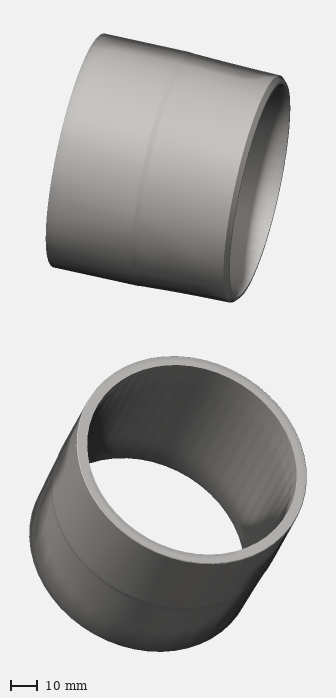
import cadquery as cq

length = 70.0
outer_diameter = 88.9
wall = 4.0

plain_end_chamfer = 0.3

taper_start = 35.0
runout_width = 2.0
runout_depth = 0.2
taper_ratio = 1 / 16
tapered_end_chamfer = 1.7

outer_radius = outer_diameter / 2
inner_radius = outer_radius - wall
runout_start = taper_start - runout_width
taper_start_radius = outer_radius - runout_depth
chamfer_start = length - tapered_end_chamfer
taper_end_radius = taper_start_radius - (chamfer_start - taper_start) * taper_ratio / 2
tip_radius = taper_end_radius - tapered_end_chamfer

wall_section = [
    (0, inner_radius),
    (0, outer_radius - plain_end_chamfer),
    (plain_end_chamfer, outer_radius),
    (runout_start, outer_radius),
    (taper_start, taper_start_radius),
    (chamfer_start, taper_end_radius),
    (length, tip_radius),
    (length, inner_radius),
]

result = (
    cq.Workplane("XZ")
    .polyline(wall_section)
    .close()
    .revolve(360, (0, 0, 0), (1, 0, 0))
)